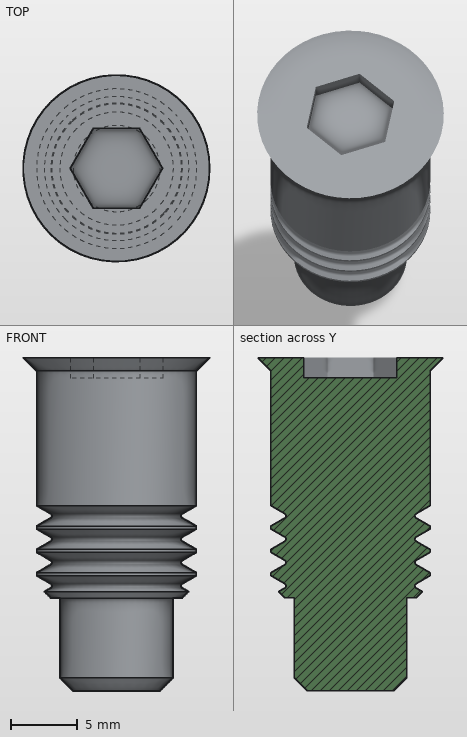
import cadquery as cq
import math

total_height = 25
head_radius = 7
body_radius = 6
body_bottom = 13.9
pin_radius = 4.25
pin_chamfer = 1
hex_across_flats = 6
hex_depth = 1.5

thread_pitch = 1.75
groove_count = 4
groove_width = 1.52
root_fillet = 0.18
flank_angle = math.radians(30)
thread_bottom = 6.98
thread_end_radius = 4.92

sharp_radius = body_radius - groove_width / 2 / math.tan(flank_angle)
root_center = sharp_radius + root_fillet / math.sin(flank_angle)
root_radius = root_center - root_fillet
tangent_radius = root_center - root_fillet * math.sin(flank_angle)
tangent_offset = root_fillet * math.cos(flank_angle)


def turned_blank():
    """Countersunk head, body and pin, with a 45 degree lead-in below the thread."""
    head_height = head_radius - body_radius
    lead_in = body_radius - thread_end_radius
    return (
        cq.Workplane("XZ")
        .moveTo(0, 0)
        .lineTo(pin_radius - pin_chamfer, 0)
        .lineTo(pin_radius, pin_chamfer)
        .lineTo(pin_radius, thread_bottom)
        .lineTo(thread_end_radius, thread_bottom)
        .lineTo(body_radius, thread_bottom + lead_in)
        .lineTo(body_radius, total_height - head_height)
        .lineTo(head_radius, total_height)
        .lineTo(0, total_height)
        .close()
        .revolve(360, (0, 0, 0), (0, 1, 0))
    )


def thread_groove(center_z):
    """V-shaped ring with a rounded root, open at the body surface."""
    half_width = groove_width / 2
    return (
        cq.Workplane("XZ")
        .moveTo(body_radius, center_z + half_width)
        .lineTo(tangent_radius, center_z + tangent_offset)
        .threePointArc((root_radius, center_z), (tangent_radius, center_z - tangent_offset))
        .lineTo(body_radius, center_z - half_width)
        .close()
        .revolve(360, (0, 0, 0), (0, 1, 0))
    )


def hex_socket():
    """Hexagonal recess in the head, with two corners on the X axis."""
    across_corners = hex_across_flats / math.cos(math.radians(30))
    return (
        cq.Workplane("XY")
        .workplane(offset=total_height - hex_depth)
        .polygon(6, across_corners)
        .extrude(hex_depth)
    )


result = turned_blank().cut(hex_socket())
for groove in range(groove_count):
    groove_center = body_bottom - groove_width / 2 - groove * thread_pitch
    result = result.cut(thread_groove(groove_center))